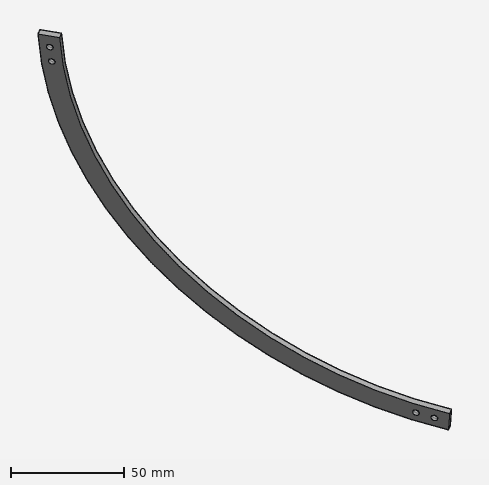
import cadquery as cq
import math

overall_size = 189.8
thickness = 3.0
band_width = 10.0
hole_diameter = 3.0
end_angle = 3.0
hole_angles = (5.0, 7.5)

end_cos = math.cos(math.radians(end_angle))
end_sin = math.sin(math.radians(end_angle))
outer_radius = (overall_size - band_width * end_sin) / (end_cos - end_sin)
inner_radius = outer_radius - band_width
middle_radius = (outer_radius + inner_radius) / 2

first_end = end_angle
bisector = 45.0
last_end = 90.0 - end_angle


def arc_point(radius, angle):
    """Point in the XZ plane, with the arc centre at the origin."""
    turn = math.radians(angle)
    return (-radius * math.cos(turn), -radius * math.sin(turn))


strip = (
    cq.Workplane("XZ")
    .moveTo(*arc_point(outer_radius, first_end))
    .threePointArc(arc_point(outer_radius, bisector), arc_point(outer_radius, last_end))
    .lineTo(*arc_point(inner_radius, last_end))
    .threePointArc(arc_point(inner_radius, bisector), arc_point(inner_radius, first_end))
    .close()
    .extrude(thickness / 2, both=True)
)

hole_points = []
for angle in hole_angles:
    hole_points.append(arc_point(middle_radius, angle))
    hole_points.append(arc_point(middle_radius, 90.0 - angle))

holes = (
    cq.Workplane("XZ")
    .pushPoints(hole_points)
    .circle(hole_diameter / 2)
    .extrude(thickness, both=True)
)

result = strip.cut(holes)